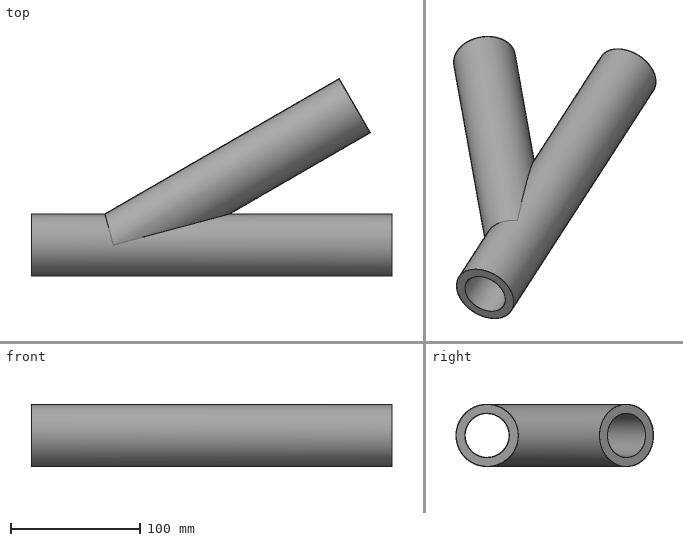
import cadquery as cq

outer_diameter = 48.3
bore_diameter = 34.0
run_length = 279.5
inlet_length = 63.5
branch_length = 216.0
branch_angle = 30.0


def run_cylinder(diameter):
    """Straight cylinder along X, covering the full run."""
    return (
        cq.Workplane("YZ", origin=(-inlet_length, 0, 0))
        .circle(diameter / 2)
        .extrude(run_length)
    )


def branch_cylinder(diameter):
    """Cylinder from the junction to the branch mouth."""
    return (
        cq.Workplane("YZ")
        .circle(diameter / 2)
        .extrude(branch_length)
        .rotate((0, 0, 0), (0, 0, 1), branch_angle)
    )


outside = run_cylinder(outer_diameter).union(branch_cylinder(outer_diameter))
result = outside.cut(run_cylinder(bore_diameter)).cut(branch_cylinder(bore_diameter))